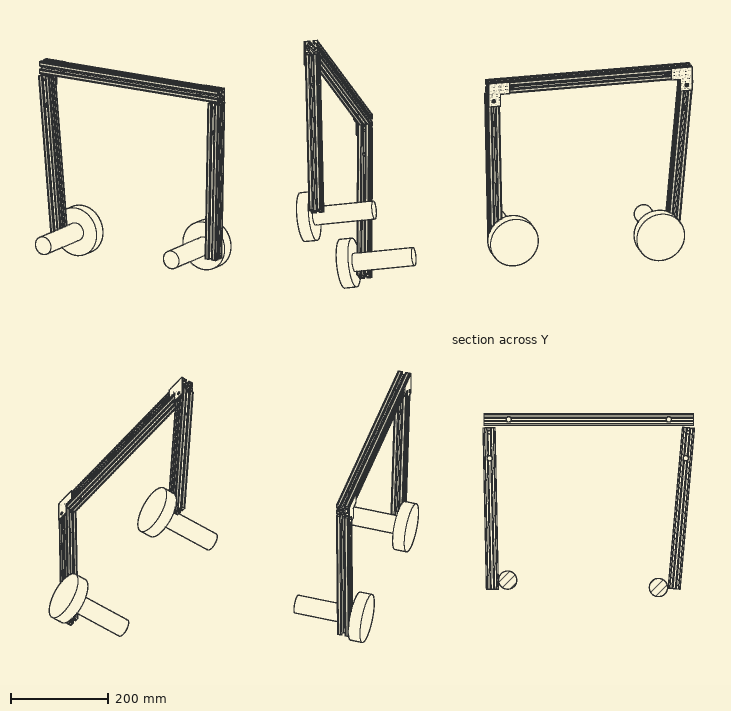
import cadquery as cq

PROFILE_SIDE = 25.5
SLOT_OPENING = 6.5
LIP_THICKNESS = 3.0
CAVITY_WIDTH = 14.0
CAVITY_WALL = 1.0
CORE_SIDE = 9.5
CORE_FLAT = 3.5
GROOVE_WIDTH = 1.7
GROOVE_DEPTH = 0.17
GROOVE_INSETS = (2.0, 7.0)
BORE_DIAMETER = 5.2

BEAM_LENGTH = 432.0
BEAM_HOLE_X = 165.0
BOLT_HOLE_DIAMETER = 10.5
CROSS_HOLE_DIAMETER = 6.0

LEG_LENGTH = 333.3
LEG_HOLE_DROP = 63.3
SCREW_HOLE_DROP = 9.5
SCREW_HOLE_DIAMETER = 6.5
LEFT_LEG_TOP = (-205.5, -17.0)
RIGHT_LEG_TOP = (205.5, -17.0)
LEFT_LEG_TILT = 5.1
RIGHT_LEG_TILT = -1.2

PLATE_THICKNESS = 2.5
PLATE_LENGTH = 44.5
PLATE_HEIGHT = 51.0
PLATE_ARM_WIDTH = PROFILE_SIDE

WHEEL_DIAMETER = 101.5
WHEEL_THICKNESS = 25.5
HANDLE_DIAMETER = 38.0
HANDLE_LENGTH = 127.0
LEFT_WHEEL_CENTRE = (-143.5, -346.5)
RIGHT_WHEEL_CENTRE = (167.0, -331.0)

HALF_SIDE = PROFILE_SIDE / 2


def slot_cutter(length):
    """T-slot on the +Y side of a profile that runs from z = 0 up to the given length."""
    lip_bottom = HALF_SIDE - LIP_THICKNESS
    right_half = [
        (SLOT_OPENING / 2, HALF_SIDE),
        (SLOT_OPENING / 2, lip_bottom),
        (CAVITY_WIDTH / 2, lip_bottom),
        (CAVITY_WIDTH / 2, lip_bottom - CAVITY_WALL),
        (CORE_FLAT / 2, CORE_SIDE / 2),
    ]
    left_half = [(-x, y) for x, y in reversed(right_half)]
    return cq.Workplane("XY").polyline(right_half + left_half).close().extrude(length)


def groove_cutter(x, length):
    """Shallow V-groove along the +Y face, at the given distance from the middle of the face."""
    outline = [
        (x - GROOVE_WIDTH / 2, HALF_SIDE),
        (x + GROOVE_WIDTH / 2, HALF_SIDE),
        (x, HALF_SIDE - GROOVE_DEPTH),
    ]
    return cq.Workplane("XY").polyline(outline).close().extrude(length)


def slotted_profile(length):
    """Square bar from z = 0 up to the given length, with a bore, and T-slots and grooves on each side."""
    bar = cq.Workplane("XY").rect(PROFILE_SIDE, PROFILE_SIDE).extrude(length)
    cutters = [slot_cutter(length)]
    for inset in GROOVE_INSETS:
        for side in (-1, 1):
            cutters.append(groove_cutter(side * (HALF_SIDE - inset), length))
    for quarter in range(4):
        for cutter in cutters:
            bar = bar.cut(cutter.rotate((0, 0, 0), (0, 0, 1), 90 * quarter))
    bore = cq.Workplane("XY").circle(BORE_DIAMETER / 2).extrude(length)
    return bar.cut(bore)


def cross_hole(plane, diameter):
    """Cylinder through the full profile, centred on the origin, along the normal of the plane."""
    return cq.Workplane(plane).circle(diameter / 2).extrude(PROFILE_SIDE, both=True)


def make_beam():
    """Profile laid along X, with two pairs of crossing holes."""
    beam = slotted_profile(BEAM_LENGTH).translate((0, 0, -BEAM_LENGTH / 2))
    beam = beam.rotate((0, 0, 0), (0, 1, 0), 90)
    for x in (-BEAM_HOLE_X, BEAM_HOLE_X):
        beam = beam.cut(cross_hole("XZ", BOLT_HOLE_DIAMETER).translate((x, 0, 0)))
        beam = beam.cut(cross_hole("XY", CROSS_HOLE_DIAMETER).translate((x, 0, 0)))
    return beam


def place_leg(shape, top, tilt):
    """Tilt a shape about the Y axis through the origin, then move the origin to the leg top."""
    return shape.rotate((0, 0, 0), (0, 1, 0), -tilt).translate((top[0], 0, top[1]))


def make_leg(top, tilt):
    """Profile hanging from its top point, with a pair of crossing holes and a plate screw hole."""
    leg = slotted_profile(LEG_LENGTH).translate((0, 0, -LEG_LENGTH))
    leg = leg.cut(cross_hole("XZ", BOLT_HOLE_DIAMETER).translate((0, 0, -LEG_HOLE_DROP)))
    leg = leg.cut(cross_hole("YZ", CROSS_HOLE_DIAMETER).translate((0, 0, -LEG_HOLE_DROP)))
    leg = leg.cut(cross_hole("XZ", SCREW_HOLE_DIAMETER).translate((0, 0, -SCREW_HOLE_DROP)))
    return place_leg(leg, top, tilt)


def make_corner_plate(side, top, tilt):
    """L-shaped plate; side is -1 at the left end of the beam and 1 at the right end."""
    outer = side * BEAM_LENGTH / 2
    arm_inner = outer - side * PLATE_ARM_WIDTH
    end = outer - side * PLATE_LENGTH
    outline = [
        (outer, HALF_SIDE),
        (end, HALF_SIDE),
        (end, HALF_SIDE - PLATE_ARM_WIDTH),
        (arm_inner, HALF_SIDE - PLATE_ARM_WIDTH),
        (arm_inner, HALF_SIDE - PLATE_HEIGHT),
        (outer, HALF_SIDE - PLATE_HEIGHT),
    ]
    plate = back_face((0, 0)).polyline(outline).close().extrude(-PLATE_THICKNESS)
    screw_hole = cross_hole("XZ", SCREW_HOLE_DIAMETER).translate((0, 0, -SCREW_HOLE_DROP))
    return plate.cut(place_leg(screw_hole, top, tilt))


def back_face(centre):
    """Workplane on the back of the beam and legs; it faces -Y and its axes are X and Z."""
    return cq.Workplane("XZ", origin=(0, HALF_SIDE, 0)).center(*centre)


def make_wheel(centre):
    """Disc whose front face lies against the back of the legs."""
    return back_face(centre).circle(WHEEL_DIAMETER / 2).extrude(-WHEEL_THICKNESS)


def make_handle(centre):
    """Rod reaching forward, toward -Y, from the front face of a wheel, just clear of the leg."""
    return back_face(centre).circle(HANDLE_DIAMETER / 2).extrude(HANDLE_LENGTH)


bodies = [make_beam().val()]
for side, top, tilt in ((-1, LEFT_LEG_TOP, LEFT_LEG_TILT), (1, RIGHT_LEG_TOP, RIGHT_LEG_TILT)):
    bodies.append(make_leg(top, tilt).val())
    bodies.append(make_corner_plate(side, top, tilt).val())
for centre in (LEFT_WHEEL_CENTRE, RIGHT_WHEEL_CENTRE):
    bodies.append(make_wheel(centre).val())
    bodies.append(make_handle(centre).val())

result = cq.Compound.makeCompound(bodies)